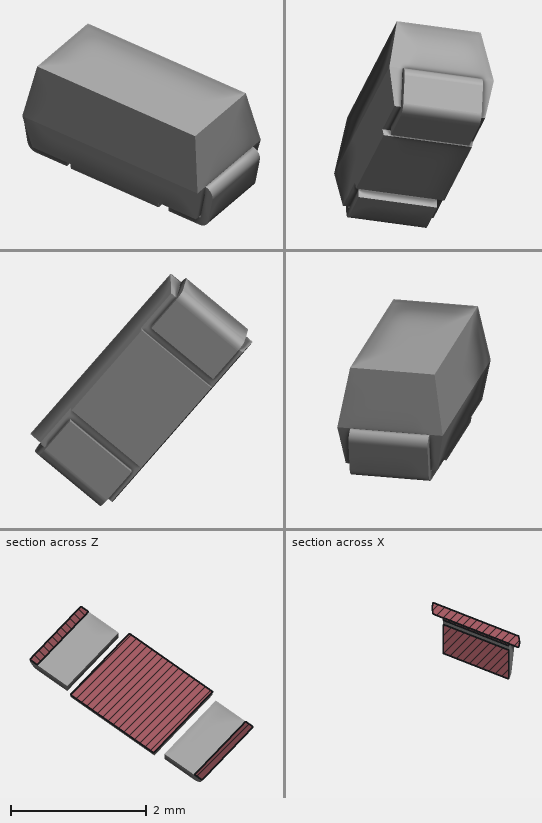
import cadquery as cq
import math

body_length = 3.2
body_width = 1.6
body_top = 1.66
body_bottom = 0.06
parting_height = 0.76
draft = 10.0

foot_length = 1.6
relief_height = 0.16

overall_length = 3.46
lead_width = 1.2
lead_thickness = 0.14
inner_bend = 0.02
outer_bend = inner_bend + lead_thickness
lead_foot_reach = 0.8

draft_angle = math.radians(draft)


def make_housing():
    lower_depth = parting_height - body_bottom
    upper_height = body_top - parting_height
    parting = cq.Workplane("XY").workplane(offset=parting_height)
    upper = parting.rect(body_length, body_width).extrude(upper_height, taper=draft)
    lower = parting.rect(body_length, body_width).extrude(-lower_depth, taper=draft)
    body = upper.union(lower)

    relief_length = (body_length - foot_length) / 2
    relief_center = (body_length + foot_length) / 4
    relief = (
        cq.Workplane("XY")
        .workplane(offset=body_bottom)
        .pushPoints([(-relief_center, 0), (relief_center, 0)])
        .rect(relief_length, body_width)
        .extrude(relief_height - body_bottom)
    )
    return body.cut(relief).solids()


def on_bend(center, radius, angle):
    """Point on a bend, with the angle in radians counterclockwise from +X."""
    return (center[0] + radius * math.cos(angle), center[1] + radius * math.sin(angle))


def make_left_lead(housing):
    """Lead at the -X end: short tab, sloping wall parallel to the housing end, and foot."""
    outermost = -overall_length / 2
    foot_tip = outermost + lead_foot_reach

    upper_z = parting_height - outer_bend
    lower_z = outer_bend
    wall_run = (upper_z - lower_z) * math.tan(draft_angle)
    upper = (outermost + outer_bend, upper_z)
    lower = (upper[0] + wall_run, lower_z)

    up = math.pi / 2
    wall = math.pi + draft_angle
    down = 3 * math.pi / 2
    upper_mid = (up + wall) / 2
    lower_mid = (wall + down) / 2

    tab_end = upper[0] + lead_thickness
    strip = (
        cq.Workplane("XZ")
        .moveTo(tab_end, parting_height)
        .lineTo(*on_bend(upper, outer_bend, up))
        .threePointArc(on_bend(upper, outer_bend, upper_mid), on_bend(upper, outer_bend, wall))
        .lineTo(*on_bend(lower, outer_bend, wall))
        .threePointArc(on_bend(lower, outer_bend, lower_mid), on_bend(lower, outer_bend, down))
        .lineTo(foot_tip, 0)
        .lineTo(foot_tip, lead_thickness)
        .lineTo(*on_bend(lower, inner_bend, down))
        .threePointArc(on_bend(lower, inner_bend, lower_mid), on_bend(lower, inner_bend, wall))
        .lineTo(*on_bend(upper, inner_bend, wall))
        .threePointArc(on_bend(upper, inner_bend, upper_mid), on_bend(upper, inner_bend, up))
        .lineTo(tab_end, parting_height - lead_thickness)
        .close()
        .extrude(lead_width / 2, both=True)
    )
    return strip.cut(housing).solids()


housing = make_housing()
left_lead = make_left_lead(housing)

leads = [left_lead.rotate((0, 0, 0), (0, 0, 1), turn) for turn in (0, 180)]

result = cq.Compound.makeCompound([housing.val(), *[lead.val() for lead in leads]])